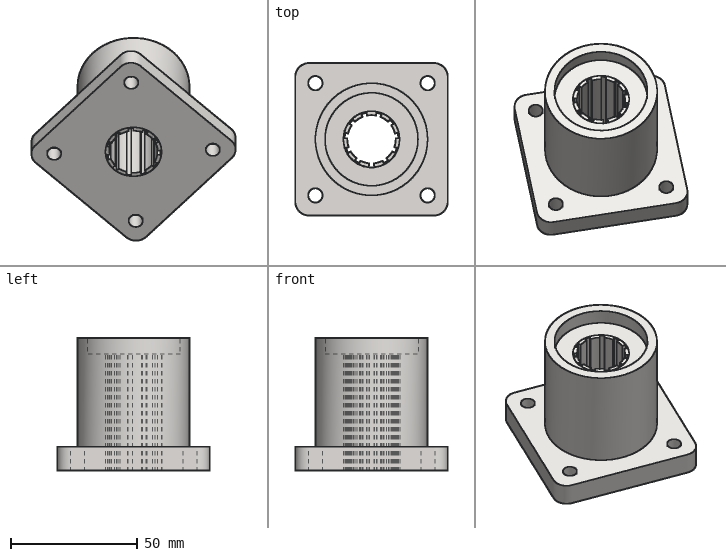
import cadquery as cq
import math

flange_width = 60.45
flange_thickness = 9.5
flange_corner_radius = 5.55
total_height = 52.5
barrel_diameter = 44.45
recess_diameter = 36.8
recess_depth = 6.2

hole_spacing = 44.45
hole_diameter = 5.55

liner_outer_diameter = 22.25
liner_inner_diameter = 19.05
groove_root_diameter = 21.2
groove_count = 11
groove_angle = 11.0
slit_direction = -90.0

liner_length = total_height - recess_depth


def make_housing():
    """Square flange with a round barrel, bored for the liner and recessed at the top."""
    flange = (
        cq.Workplane("XY")
        .rect(flange_width, flange_width)
        .extrude(flange_thickness)
        .edges("|Z")
        .fillet(flange_corner_radius)
    )
    barrel = cq.Workplane("XY").circle(barrel_diameter / 2).extrude(total_height)
    bore = cq.Workplane("XY").circle(liner_outer_diameter / 2).extrude(total_height)
    recess = (
        cq.Workplane("XY")
        .workplane(offset=liner_length)
        .circle(recess_diameter / 2)
        .extrude(recess_depth)
    )
    mounting_holes = (
        cq.Workplane("XY")
        .rect(hole_spacing, hole_spacing, forConstruction=True)
        .vertices()
        .circle(hole_diameter / 2)
        .extrude(flange_thickness)
    )
    return flange.union(barrel).cut(bore).cut(recess).cut(mounting_holes)


def make_groove_sector(direction):
    """Full-length wedge from the liner axis, reaching past the liner wall."""
    reach = liner_outer_diameter
    start = math.radians(direction - groove_angle / 2)
    end = math.radians(direction + groove_angle / 2)
    return (
        cq.Workplane("XY")
        .moveTo(0, 0)
        .lineTo(reach * math.cos(start), reach * math.sin(start))
        .lineTo(reach * math.cos(end), reach * math.sin(end))
        .close()
        .extrude(liner_length)
    )


def make_liner():
    """Tube with lengthwise grooves in its bore, one of them cut through as a slit."""
    liner = (
        cq.Workplane("XY")
        .circle(liner_outer_diameter / 2)
        .circle(liner_inner_diameter / 2)
        .extrude(liner_length)
    )
    groove_limit = cq.Workplane("XY").circle(groove_root_diameter / 2).extrude(liner_length)
    liner = liner.cut(make_groove_sector(slit_direction))
    for index in range(1, groove_count):
        direction = slit_direction + index * 360 / groove_count
        liner = liner.cut(make_groove_sector(direction).intersect(groove_limit))
    return liner


housing = make_housing()
liner = make_liner()

result = cq.Compound.makeCompound([housing.val(), liner.val()])